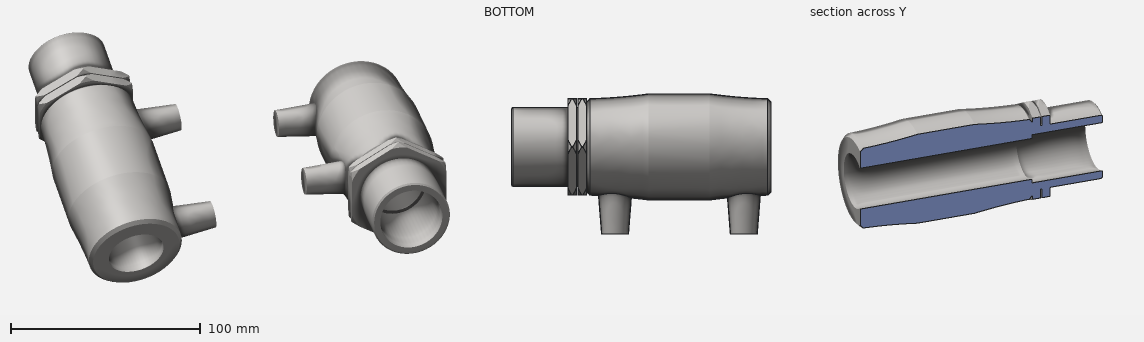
import cadquery as cq
import math

length = 137.0
body_start = 39.7
barrel_start = 72.3
barrel_end = 104.7

spigot_diameter = 41.9
spigot_chamfer = 0.8
barrel_diameter = 56.0
body_end_diameter = 51.0
body_chamfer = 1.8
flank_sag = 0.4

spigot_bore_diameter = 33.5
body_bore_diameter = 30.0

nut_across_flats = 51.0
nut_thickness = 4.7
nut_gap = 0.7
nut_tip_diameter = 58.6
nut_chamfer_length = 1.9
nut_chamfer_depth = 1.9

terminal_positions = (54.7, 122.6)
overall_width = 74.0
terminal_top = overall_width - barrel_diameter / 2
terminal_root = 19.2
terminal_top_diameter = 14.2
terminal_taper_angle = 4.5


def revolve_about_x(profile):
    """Turn a closed profile, drawn as (x, radius), about the X axis."""
    return profile.revolve(360, (0, 0, 0), (1, 0, 0))


def make_body():
    spigot_radius = spigot_diameter / 2
    end_radius = body_end_diameter / 2
    barrel_radius = barrel_diameter / 2
    front_edge = body_start + body_chamfer
    rear_edge = length - body_chamfer
    flank_radius = (end_radius + barrel_radius) / 2 - flank_sag
    front_flank_middle = ((front_edge + barrel_start) / 2, flank_radius)
    rear_flank_middle = ((barrel_end + rear_edge) / 2, flank_radius)
    profile = (
        cq.Workplane("XY")
        .moveTo(0, 0)
        .lineTo(0, spigot_radius - spigot_chamfer)
        .lineTo(spigot_chamfer, spigot_radius)
        .lineTo(body_start, spigot_radius)
        .lineTo(body_start, end_radius - body_chamfer)
        .lineTo(front_edge, end_radius)
        .threePointArc(front_flank_middle, (barrel_start, barrel_radius))
        .lineTo(barrel_end, barrel_radius)
        .threePointArc(rear_flank_middle, (rear_edge, end_radius))
        .lineTo(length, end_radius - body_chamfer)
        .lineTo(length, 0)
        .close()
    )
    return revolve_about_x(profile)


def make_nut(start):
    """Hexagonal nut with corners on Z and both faces chamfered by a cone."""
    end = start + nut_thickness
    tip_radius = nut_tip_diameter / 2
    face_radius = tip_radius - nut_chamfer_depth
    across_corners = nut_across_flats / math.cos(math.radians(30))
    hexagon = (
        cq.Workplane("YZ", origin=(start, 0, 0))
        .transformed(rotate=(0, 0, 90))
        .polygon(6, across_corners)
        .extrude(nut_thickness)
    )
    envelope = revolve_about_x(
        cq.Workplane("XY").polyline([
            (start, 0),
            (start, face_radius),
            (start + nut_chamfer_length, tip_radius),
            (end - nut_chamfer_length, tip_radius),
            (end, face_radius),
            (end, 0),
        ]).close()
    )
    return hexagon.intersect(envelope)


def make_terminal(x):
    height = terminal_top - terminal_root
    return (
        cq.Workplane("XZ", origin=(x, terminal_top, 0))
        .circle(terminal_top_diameter / 2)
        .extrude(height, taper=-terminal_taper_angle)
    )


def make_bore():
    spigot_bore = cq.Workplane("YZ").circle(spigot_bore_diameter / 2).extrude(body_start)
    body_bore = cq.Workplane("YZ").circle(body_bore_diameter / 2).extrude(length)
    return spigot_bore.union(body_bore)


result = make_body()

rear_nut_start = body_start - nut_thickness
front_nut_start = rear_nut_start - nut_gap - nut_thickness
for nut_start in (front_nut_start, rear_nut_start):
    result = result.union(make_nut(nut_start))

for terminal_x in terminal_positions:
    result = result.union(make_terminal(terminal_x))

result = result.cut(make_bore())